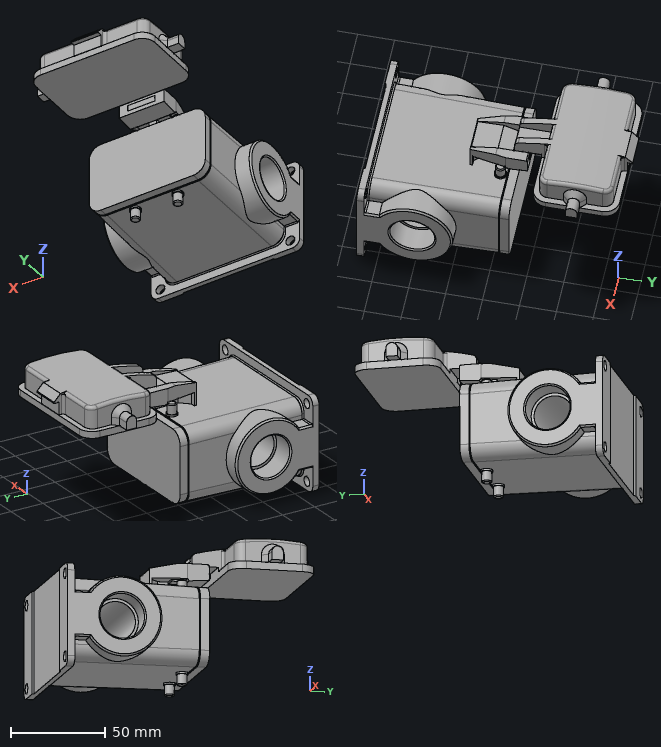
import cadquery as cq
import math


PLATE_WIDTH = 94.0
PLATE_HEIGHT = 56.0
PLATE_THICKNESS = 4.0
PLATE_CORNER = 4.7
HOLE_DIAMETER = 5.5
HOLE_X = 41.0
HOLE_Z = 22.6
RELIEF_HALF_WIDTH = 28.2
RELIEF_DEPTH = 0.9
RELIEF_EDGE_RUN = 1.0

BODY_BASE_WIDTH = 75.4
BODY_BASE_HEIGHT = 45.4
BODY_CORNER = 7.8
BODY_DRAFT = 0.86
LIP_START_Y = 75.4
FACE_Y = 80.5
LIP_WIDTH = 73.4
LIP_HEIGHT = 43.1
LIP_CORNER = 7.5
GROOVE_WIDTH = 0.6
GROOVE_DEPTH = 0.3
BASE_BEAD_WIDTH = 1.0
BASE_BEAD_HEIGHT = 0.4

ENTRY_Y = 30.1
ENTRY_RADIUS = 21.8
ENTRY_EDGE = 1.0
ENTRY_BORE_RADIUS = 12.2
ENTRY_BORE_DEPTH = 14.0
ENTRY_MOUTH_RADIUS = 13.0
THROUGH_RADIUS = 10.6
NECK_HALF_HEIGHT = 12.4

PEG_X = 13.4
PEG_Y = 71.2
PEG_RADIUS = 2.7
PEG_TOP_Z = 28.6
PEG_CHAMFER = 0.6
PEG_FOOT_RADIUS = 3.2
PEG_FOOT_Z = 22.7
PEG_ROOT_Z = 20.0

BRACKET_HALF_WIDTH = 14.2
BRACKET_NOSE_HALF_WIDTH = 10.5
BRACKET_NOSE_Y = 54.1
BRACKET_TAPER_Y = 74.1
BRACKET_END_Y = 86.0
BRACKET_TOP_Z = 37.8
BRACKET_BEND_Y = 68.6
BRACKET_NOSE_Z = 35.1
BRACKET_UNDER_Z = 29.7
BRACKET_TAIL_UNDER_Z = 29.3
BRACKET_STEP_Y = 75.0
BRACKET_STEP_Z = 28.4
BRACKET_CHAMFER = 0.7
SKIRT_THICKNESS = 1.4
SKIRT_BOTTOM_Z = 21.5
FLOOR_NOSE_Z = 34.9
FLOOR_NOSE_CHAMFER = 0.4
FLOOR_CREST_Z = 35.3
FLOOR_LOW_Y = 76.5
FLOOR_LOW_Z = 32.6
PAD_HALF_WIDTH = 10.0
PAD_START_Y = 66.5
PAD_UNDER_Z = 28.7
POST_HALF_WIDTH = 2.5
POST_FLARE_Y = 60.7
POST_ROOT_Z = 20.0
KNUCKLE_RADIUS = 4.2
KNUCKLE_Y = 82.2
KNUCKLE_Z = 33.6

COVER_Y = 115.72
RIM_WIDTH = 75.0
RIM_LENGTH = 46.7
RIM_CORNER = 8.0
RIM_BOTTOM_Z = 31.5
RIM_TOP_Z = 35.6
CROWN_WIDTH = 68.4
CROWN_LENGTH = 40.0
CROWN_CORNER = 5.0
COVER_TOP_Z = 49.54
CROWN_ARCH_RADIUS = 140.0
CROWN_EDGE = 2.0
CROWN_ROOT_RADIUS = 1.6
ARM_HALF_WIDTH = 8.6
ARM_END_Y = 77.9
ARM_UNDER_Z = 37.9
ARM_LUG_BOTTOM_Z = 31.0
ARM_NOSE_RADIUS = 2.6
ARM_POCKET_HALF_WIDTH = 4.9
ARM_POCKET_FLOOR_Z = 41.0
TAB_TIP_Y = 141.82
TAB_ROOT_Y = 137.8
TAB_BACK_Y = 138.9
TAB_TOP_Z = 47.8
TAB_UNDER_Z = 42.9
TAB_TIP_HEIGHT = 0.7
COVER_PIN_HALF_SPAN = 44.6
COVER_PIN_Z = 40.0
COVER_PIN_RADIUS = 3.15
COVER_BOSS_RADIUS = 6.3

PLATE_HALF_WIDTH = PLATE_WIDTH / 2


def rounded_block(width, height, depth, corner, y, taper=0.0):
    """Block from y towards +Y with a rounded rectangular section; the corner radius stays constant."""
    plane = cq.Plane(origin=(0, y, 0), xDir=(-1, 0, 0), normal=(0, 1, 0))
    block = cq.Workplane(plane).rect(width, height).extrude(depth, taper=taper)
    return block.edges("not (|X or |Z)").fillet(corner)


def side_extrusion(wire, half_width):
    """Profile drawn in (Y, Z), extruded symmetrically about X = 0."""
    return wire.extrude(half_width, both=True)


def side_plane(x=0.0):
    return cq.Workplane("YZ", origin=(x, 0, 0))


def box_between(x_range, y_range, z_range):
    size = [high - low for low, high in (x_range, y_range, z_range)]
    corner = (x_range[0], y_range[0], z_range[0])
    return cq.Workplane("XY").box(*size, centered=False).translate(corner)


def mounting_plate():
    plate = rounded_block(PLATE_WIDTH, PLATE_HEIGHT, PLATE_THICKNESS, PLATE_CORNER, 0)
    outer = RELIEF_HALF_WIDTH + RELIEF_EDGE_RUN
    relief = (
        cq.Workplane("XY")
        .polyline([
            (-outer, 0),
            (outer, 0),
            (RELIEF_HALF_WIDTH, RELIEF_DEPTH),
            (-RELIEF_HALF_WIDTH, RELIEF_DEPTH),
        ])
        .close()
        .extrude(PLATE_HEIGHT, both=True)
    )
    return plate.cut(relief)


def mounting_holes():
    return (
        cq.Workplane("XZ")
        .rect(2 * HOLE_X, 2 * HOLE_Z, forConstruction=True)
        .vertices()
        .circle(HOLE_DIAMETER / 2)
        .extrude(-PLATE_THICKNESS)
    )


def housing_body():
    body_length = LIP_START_Y - GROOVE_WIDTH - PLATE_THICKNESS
    body = rounded_block(
        BODY_BASE_WIDTH, BODY_BASE_HEIGHT, body_length, BODY_CORNER, PLATE_THICKNESS, BODY_DRAFT
    )
    bead_slope = math.degrees(math.atan(BASE_BEAD_HEIGHT / BASE_BEAD_WIDTH))
    bead = rounded_block(
        BODY_BASE_WIDTH + 2 * BASE_BEAD_HEIGHT,
        BODY_BASE_HEIGHT + 2 * BASE_BEAD_HEIGHT,
        BASE_BEAD_WIDTH,
        BODY_CORNER,
        PLATE_THICKNESS,
        bead_slope,
    )
    groove = rounded_block(
        LIP_WIDTH - 2 * GROOVE_DEPTH,
        LIP_HEIGHT - 2 * GROOVE_DEPTH,
        GROOVE_WIDTH,
        LIP_CORNER,
        LIP_START_Y - GROOVE_WIDTH,
    )
    lip = rounded_block(LIP_WIDTH, LIP_HEIGHT, FACE_Y - LIP_START_Y, LIP_CORNER, LIP_START_Y)
    return body.union(bead).union(groove).union(lip)


def cable_entries():
    """One cylinder across the housing, joined to the plate by a neck; both ends are chamfered."""
    barrel = side_plane().center(ENTRY_Y, 0).circle(ENTRY_RADIUS).extrude(PLATE_HALF_WIDTH, both=True)
    neck = box_between(
        (-PLATE_HALF_WIDTH, PLATE_HALF_WIDTH),
        (PLATE_THICKNESS / 2, ENTRY_Y),
        (-NECK_HALF_HEIGHT, NECK_HALF_HEIGHT),
    )
    entries = barrel.union(neck)
    entries = entries.faces("<X or >X").chamfer(ENTRY_EDGE)
    bead_reach = NECK_HALF_HEIGHT + BASE_BEAD_HEIGHT
    bead = side_extrusion(
        side_plane()
        .polyline([
            (PLATE_THICKNESS, -bead_reach),
            (PLATE_THICKNESS + BASE_BEAD_WIDTH, -NECK_HALF_HEIGHT),
            (PLATE_THICKNESS + BASE_BEAD_WIDTH, NECK_HALF_HEIGHT),
            (PLATE_THICKNESS, bead_reach),
        ])
        .close(),
        PLATE_HALF_WIDTH - ENTRY_EDGE,
    )
    return entries.union(bead)


def entry_bore(side):
    """Chamfered blind bore of the entry on the given side (-1 or 1)."""
    chamfer = ENTRY_MOUTH_RADIUS - ENTRY_BORE_RADIUS
    end = PLATE_HALF_WIDTH
    profile = [
        (side * end, ENTRY_Y),
        (side * end, ENTRY_Y + ENTRY_MOUTH_RADIUS),
        (side * (end - chamfer), ENTRY_Y + ENTRY_BORE_RADIUS),
        (side * (end - ENTRY_BORE_DEPTH), ENTRY_Y + ENTRY_BORE_RADIUS),
        (side * (end - ENTRY_BORE_DEPTH), ENTRY_Y),
    ]
    axis = ((0, ENTRY_Y, 0), (1, ENTRY_Y, 0))
    return cq.Workplane("XY").polyline(profile).close().revolve(360, *axis)


def through_bore():
    return side_plane().center(ENTRY_Y, 0).circle(THROUGH_RADIUS).extrude(PLATE_HALF_WIDTH, both=True)


def locking_peg(x, side):
    """Peg standing on the top (side = 1) or bottom (side = -1) of the housing."""
    peg = cq.Workplane("XY").circle(PEG_RADIUS).extrude(PEG_TOP_Z - PEG_ROOT_Z)
    peg = peg.faces(">Z").chamfer(PEG_CHAMFER)
    foot = cq.Workplane("XY").circle(PEG_FOOT_RADIUS).extrude(PEG_FOOT_Z - PEG_ROOT_Z)
    peg = peg.union(foot).translate((x, PEG_Y, PEG_ROOT_Z))
    return peg if side > 0 else peg.mirror("XY")


def hinge_bracket():
    """Tapering bracket with two side rails, a sunken floor and a skirt at its nose."""
    skirt_back = BRACKET_NOSE_Y + SKIRT_THICKNESS
    bracket = side_extrusion(
        side_plane()
        .polyline([
            (BRACKET_NOSE_Y, SKIRT_BOTTOM_Z),
            (BRACKET_NOSE_Y, BRACKET_NOSE_Z),
            (BRACKET_BEND_Y, BRACKET_TOP_Z),
            (BRACKET_END_Y - BRACKET_CHAMFER, BRACKET_TOP_Z),
            (BRACKET_END_Y, BRACKET_TOP_Z - BRACKET_CHAMFER),
            (BRACKET_END_Y, BRACKET_TAIL_UNDER_Z),
            (BRACKET_STEP_Y, BRACKET_STEP_Z),
            (BRACKET_TAPER_Y, BRACKET_UNDER_Z),
            (skirt_back, BRACKET_UNDER_Z),
            (skirt_back, SKIRT_BOTTOM_Z),
        ])
        .close(),
        BRACKET_HALF_WIDTH,
    )
    outline = (
        cq.Workplane("XY")
        .polyline([
            (-BRACKET_NOSE_HALF_WIDTH, BRACKET_NOSE_Y),
            (BRACKET_NOSE_HALF_WIDTH, BRACKET_NOSE_Y),
            (BRACKET_HALF_WIDTH, BRACKET_TAPER_Y),
            (BRACKET_HALF_WIDTH, BRACKET_END_Y),
            (-BRACKET_HALF_WIDTH, BRACKET_END_Y),
            (-BRACKET_HALF_WIDTH, BRACKET_TAPER_Y),
        ])
        .close()
        .extrude(COVER_TOP_Z)
    )
    channel = side_extrusion(
        side_plane()
        .polyline([
            (BRACKET_NOSE_Y, FLOOR_NOSE_Z - FLOOR_NOSE_CHAMFER),
            (BRACKET_NOSE_Y + FLOOR_NOSE_CHAMFER, FLOOR_NOSE_Z),
            (BRACKET_BEND_Y, FLOOR_CREST_Z),
            (FLOOR_LOW_Y, FLOOR_LOW_Z),
            (ARM_END_Y, FLOOR_LOW_Z),
            (ARM_END_Y, BRACKET_TOP_Z),
            (BRACKET_NOSE_Y, BRACKET_TOP_Z),
        ])
        .close(),
        ARM_HALF_WIDTH,
    )
    return bracket.intersect(outline).cut(channel)


def bracket_support():
    """Post flaring towards the skirt, the pad above it and the hinge knuckle."""
    skirt_back = BRACKET_NOSE_Y + SKIRT_THICKNESS
    flare = POST_HALF_WIDTH + POST_FLARE_Y - skirt_back
    post = (
        cq.Workplane("XY", origin=(0, 0, POST_ROOT_Z))
        .polyline([
            (-flare, skirt_back),
            (flare, skirt_back),
            (POST_HALF_WIDTH, POST_FLARE_Y),
            (POST_HALF_WIDTH, BRACKET_STEP_Y),
            (-POST_HALF_WIDTH, BRACKET_STEP_Y),
            (-POST_HALF_WIDTH, POST_FLARE_Y),
        ])
        .close()
        .extrude(BRACKET_UNDER_Z - POST_ROOT_Z)
    )
    pad = box_between(
        (-PAD_HALF_WIDTH, PAD_HALF_WIDTH),
        (PAD_START_Y, BRACKET_STEP_Y),
        (PAD_UNDER_Z, BRACKET_UNDER_Z),
    )
    knuckle = side_extrusion(
        side_plane().center(KNUCKLE_Y, KNUCKLE_Z).circle(KNUCKLE_RADIUS), ARM_HALF_WIDTH
    )
    return post.union(pad).union(knuckle)


def cover_block(width, length, corner, bottom, top):
    profile = cq.Sketch().rect(width, length).vertices().fillet(corner)
    return cq.Workplane("XY", origin=(0, COVER_Y, bottom)).placeSketch(profile).extrude(top - bottom)


def cover_arch():
    """Cylinder along X whose crest is the gently arched top of the cover."""
    arch = side_plane().center(COVER_Y, COVER_TOP_Z - CROWN_ARCH_RADIUS).circle(CROWN_ARCH_RADIUS)
    return side_extrusion(arch, RIM_WIDTH)


def cover_shell():
    rim = cover_block(RIM_WIDTH, RIM_LENGTH, RIM_CORNER, RIM_BOTTOM_Z, RIM_TOP_Z)
    crown = cover_block(CROWN_WIDTH, CROWN_LENGTH, CROWN_CORNER, RIM_BOTTOM_Z, COVER_TOP_Z)
    crown = crown.intersect(cover_arch()).faces(">Z").edges().fillet(CROWN_EDGE)
    return rim.union(crown)


def cover_arm():
    """Arm reaching from the cover down to the hinge, its top following the arch of the cover."""
    arm = side_extrusion(
        side_plane()
        .polyline([
            (ARM_END_Y, ARM_LUG_BOTTOM_Z),
            (ARM_END_Y, COVER_TOP_Z),
            (COVER_Y, COVER_TOP_Z),
            (COVER_Y, RIM_TOP_Z),
            (COVER_Y - RIM_LENGTH / 2, RIM_TOP_Z),
            (COVER_Y - RIM_LENGTH / 2, ARM_UNDER_Z),
            (KNUCKLE_Y, ARM_UNDER_Z),
            (KNUCKLE_Y, ARM_LUG_BOTTOM_Z),
        ])
        .close(),
        ARM_HALF_WIDTH,
    )
    arm = arm.intersect(cover_arch())
    arm = arm.faces("<Y").edges(">Z").fillet(ARM_NOSE_RADIUS)
    pocket = box_between(
        (-ARM_POCKET_HALF_WIDTH, ARM_POCKET_HALF_WIDTH),
        (ARM_END_Y, COVER_Y - CROWN_LENGTH / 2 + CROWN_EDGE),
        (ARM_POCKET_FLOOR_Z, COVER_TOP_Z),
    )
    return arm.cut(pocket)


def cover_tab():
    """Hooked finger tab at the free end of the cover."""
    return side_extrusion(
        side_plane()
        .polyline([
            (COVER_Y, RIM_TOP_Z),
            (TAB_BACK_Y, RIM_TOP_Z),
            (TAB_BACK_Y, TAB_UNDER_Z),
            (TAB_TIP_Y, TAB_UNDER_Z),
            (TAB_TIP_Y, TAB_UNDER_Z + TAB_TIP_HEIGHT),
            (TAB_ROOT_Y, TAB_TOP_Z),
            (TAB_ROOT_Y, COVER_TOP_Z),
            (COVER_Y, COVER_TOP_Z),
        ])
        .close(),
        ARM_HALF_WIDTH,
    ).intersect(cover_arch())


def crown_root_gussets():
    """Concave corner fillings where the arm and the tab leave the crown."""
    radius = CROWN_ROOT_RADIUS
    gussets = cq.Workplane("XY")
    for side_x in (-1, 1):
        for side_y in (-1, 1):
            x = side_x * ARM_HALF_WIDTH
            y = COVER_Y + side_y * CROWN_LENGTH / 2
            sunk_x = x - side_x * radius
            sunk_y = y - side_y * CROWN_EDGE
            gusset = (
                cq.Workplane("XY", origin=(0, 0, RIM_TOP_Z))
                .moveTo(sunk_x, sunk_y)
                .lineTo(x + side_x * radius, sunk_y)
                .lineTo(x + side_x * radius, y)
                .radiusArc((x, y + side_y * radius), side_x * side_y * radius)
                .lineTo(sunk_x, y + side_y * radius)
                .close()
                .extrude(COVER_TOP_Z - RIM_TOP_Z)
            )
            gussets = gussets.union(gusset)
    return gussets.intersect(cover_arch().translate((0, 0, -CROWN_EDGE / 2)))


def arched_outline(workplane, radius):
    """Outline with a flat foot on the rim and a half-round top, centred on the cover pin."""
    return (
        workplane.moveTo(COVER_Y - radius, RIM_TOP_Z)
        .lineTo(COVER_Y - radius, COVER_PIN_Z)
        .threePointArc((COVER_Y, COVER_PIN_Z + radius), (COVER_Y + radius, COVER_PIN_Z))
        .lineTo(COVER_Y + radius, RIM_TOP_Z)
        .close()
    )


def cover_pin():
    """Pin on the +X side of the cover with its flared boss."""
    boss_start = CROWN_WIDTH / 2
    boss_end = RIM_WIDTH / 2
    pin = arched_outline(side_plane(boss_start), COVER_PIN_RADIUS).extrude(COVER_PIN_HALF_SPAN - boss_start)
    boss = arched_outline(side_plane(boss_start), COVER_BOSS_RADIUS).workplane(offset=boss_end - boss_start)
    boss = arched_outline(boss, COVER_PIN_RADIUS).loft(ruled=True)
    return pin.union(boss)


def housing():
    part = mounting_plate().union(housing_body()).union(cable_entries())
    part = part.cut(through_bore())
    for side in (-1, 1):
        part = part.cut(entry_bore(side))
    part = part.cut(mounting_holes())
    for x in (-PEG_X, PEG_X):
        for side in (-1, 1):
            part = part.union(locking_peg(x, side))
    return part.union(hinge_bracket()).union(bracket_support())


def cover():
    part = cover_shell().union(cover_arm()).union(cover_tab())
    part = part.union(crown_root_gussets())
    pin = cover_pin()
    return part.union(pin).union(pin.mirror("YZ"))


result = housing().union(cover())